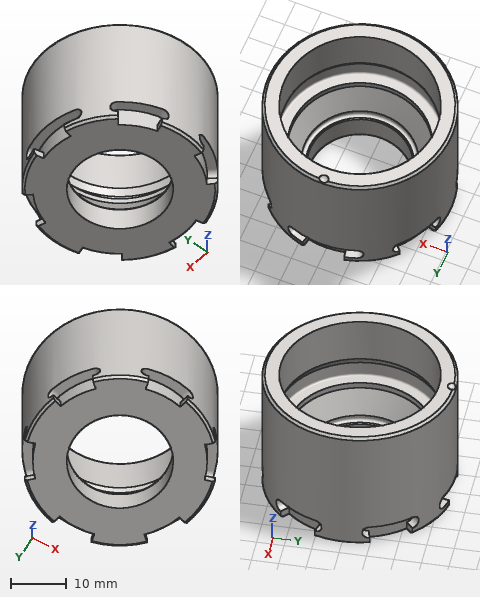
import cadquery as cq
import math

OUTER_RADIUS = 17.5
HEIGHT = 25.0
EDGE_CHAMFER = 0.5

BORE_RADIUS = 28.9 / 2
BORE_DEPTH = 8.75
RELIEF_RADIUS = 30.3 / 2
RELIEF_START_DEPTH = 10.22
RELIEF_FLOOR_DEPTH = 13.15
RELIEF_FILLET = 0.4
SEAT_RADIUS = 26.0 / 2
SEAT_DEPTH = 14.35
CONE_END_RADIUS = 10.5
CONE_HALF_ANGLE = 30.0
LEDGE_DEPTH = 1.0
LEDGE_FILLET = 0.42
THROAT_RADIUS = 19.0 / 2
THROAT_CHAMFER = 0.228

NOTCH_COUNT = 6
NOTCH_FLOOR_RADIUS = 15.58
OPENING_HALF_ANGLE = 13.3
SLOT_HALF_ANGLE = 13.7
WIDE_SLOT_HALF_ANGLE = 20.6
WIDE_NOTCH_DIRECTION = 90.0
SLOT_BOTTOM = 1.5
SLOT_HEIGHT = 2.5

MARK_SPHERE_RADIUS = 1.0
MARK_CENTER_RADIUS = 16.85
MARK_CENTER_RISE = 0.52

CUT_MARGIN = 1.75

ARC_MIDDLE_INSET = 1 - math.sqrt(0.5)


def make_body():
    """Revolve the chamfered sleeve with its stepped and tapered bore."""
    cone_depth = (SEAT_RADIUS - CONE_END_RADIUS) / math.tan(math.radians(CONE_HALF_ANGLE))
    cone_end = HEIGHT - SEAT_DEPTH - cone_depth
    ledge_z = cone_end - LEDGE_DEPTH
    floor_z = HEIGHT - RELIEF_FLOOR_DEPTH
    relief_arc_inset = RELIEF_FILLET * ARC_MIDDLE_INSET
    ledge_arc_inset = LEDGE_FILLET * ARC_MIDDLE_INSET
    return (
        cq.Workplane("XZ")
        .moveTo(BORE_RADIUS, HEIGHT)
        .lineTo(OUTER_RADIUS - EDGE_CHAMFER, HEIGHT)
        .lineTo(OUTER_RADIUS, HEIGHT - EDGE_CHAMFER)
        .lineTo(OUTER_RADIUS, EDGE_CHAMFER)
        .lineTo(OUTER_RADIUS - EDGE_CHAMFER, 0)
        .lineTo(THROAT_RADIUS, 0)
        .lineTo(THROAT_RADIUS, ledge_z - THROAT_CHAMFER)
        .lineTo(THROAT_RADIUS + THROAT_CHAMFER, ledge_z)
        .lineTo(CONE_END_RADIUS - LEDGE_FILLET, ledge_z)
        .threePointArc(
            (CONE_END_RADIUS - ledge_arc_inset, ledge_z + ledge_arc_inset),
            (CONE_END_RADIUS, ledge_z + LEDGE_FILLET),
        )
        .lineTo(CONE_END_RADIUS, cone_end)
        .lineTo(SEAT_RADIUS, HEIGHT - SEAT_DEPTH)
        .lineTo(SEAT_RADIUS, floor_z)
        .lineTo(RELIEF_RADIUS - RELIEF_FILLET, floor_z)
        .threePointArc(
            (RELIEF_RADIUS - relief_arc_inset, floor_z + relief_arc_inset),
            (RELIEF_RADIUS, floor_z + RELIEF_FILLET),
        )
        .lineTo(RELIEF_RADIUS, HEIGHT - RELIEF_START_DEPTH)
        .lineTo(BORE_RADIUS, HEIGHT - BORE_DEPTH)
        .close()
        .revolve(360, (0, 0, 0), (0, 1, 0))
    )


def sector(half_angle, bottom, height):
    """Solid wedge centred on +X, from the axis out past the outer wall."""
    reach = OUTER_RADIUS + CUT_MARGIN
    half_width = reach * math.tan(math.radians(half_angle))
    return (
        cq.Workplane("XY", origin=(0, 0, bottom))
        .polyline([(0, 0), (reach, -half_width), (reach, half_width)])
        .close()
        .extrude(height)
    )


def radial_pin(angle):
    """Radial cylinder that rounds one end of a slot."""
    middle = SLOT_BOTTOM + SLOT_HEIGHT / 2
    return (
        cq.Workplane("YZ", origin=(0, 0, middle))
        .circle(SLOT_HEIGHT / 2)
        .extrude(OUTER_RADIUS + CUT_MARGIN)
        .rotate((0, 0, 0), (0, 0, 1), angle)
    )


def make_notch(slot_half_angle, direction):
    """Round-ended slot above a narrower opening through the bottom face."""
    core = cq.Workplane("XY").circle(NOTCH_FLOOR_RADIUS).extrude(HEIGHT)
    cutter = sector(OPENING_HALF_ANGLE, 0, SLOT_BOTTOM + SLOT_HEIGHT / 2)
    cutter = cutter.union(sector(slot_half_angle, SLOT_BOTTOM, SLOT_HEIGHT))
    for side in (-1, 1):
        cutter = cutter.union(radial_pin(side * slot_half_angle))
    return cutter.cut(core).rotate((0, 0, 0), (0, 0, 1), direction)


def make_index_mark():
    """Sphere sunk into the top rim above the wide notch."""
    return cq.Workplane("XY").sphere(MARK_SPHERE_RADIUS).translate(
        (0, MARK_CENTER_RADIUS, HEIGHT + MARK_CENTER_RISE)
    )


result = make_body()
for index in range(NOTCH_COUNT):
    slot_half_angle = WIDE_SLOT_HALF_ANGLE if index == 0 else SLOT_HALF_ANGLE
    direction = WIDE_NOTCH_DIRECTION + index * 360 / NOTCH_COUNT
    result = result.cut(make_notch(slot_half_angle, direction))
result = result.cut(make_index_mark())